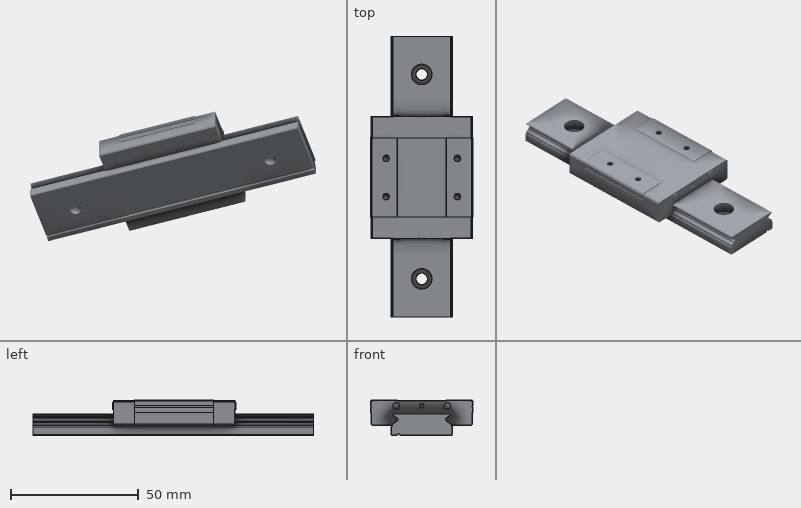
import cadquery as cq
import math

rail_length = 110.0
rail_height = 8.5
rail_half_width = 12.0
rail_base_chamfer = 0.3
rail_shoulder_z = 3.3
rail_lip_half_width = 11.5
rail_ledge_z = 4.0
rail_groove_bottom_z = 4.5
rail_groove_center_z = 6.3
rail_step_half_width = 10.3
rail_step_half_height = 1.1
rail_floor_half_width = 9.4
rail_floor_half_height = 0.7
rail_lip_z = 8.0
rail_top_chamfer = 0.3

rail_hole_y = 40.0
rail_hole_diameter = 4.5
rail_bore_diameter = 8.0
rail_bore_depth = 4.5

mark_x = -9.1
mark_radius = 0.6

overall_height = 14.0
carriage_y = -0.3
carriage_bottom_z = 4.0
carriage_half_width = 19.8
carriage_bottom_chamfer = 0.4
block_length = 30.9
cap_length = 8.4
cap_top_z = 13.6
cap_top_chamfer = 0.5

recess_half_width = 9.5
recess_slope = 0.3
pad_edge_chamfer = 0.5

band_half_width = 20.0
band_bottom_z = 9.0
band_groove_bottom_z = 11.0
band_groove_top_z = 11.7

mount_hole_x = 14.0
mount_hole_y = 7.5
mount_hole_diameter = 2.5
mount_hole_depth = 3.6
drill_point_angle = 118.0

screw_x = 10.0
screw_z = 11.5
screw_head_diameter = 2.6
screw_head_height = 0.38
port_z = 11.7
port_diameter = 1.8
port_depth = 2.2


def mirrored_profile(right_side, length, center_y):
    """Extrude a section along Y; right_side lists its +X points and is mirrored in X = 0."""
    left_side = [(-x, z) for x, z in reversed(right_side)]
    return (
        cq.Workplane("XZ", origin=(0, center_y, 0))
        .polyline(right_side + left_side)
        .close()
        .extrude(length / 2, both=True)
    )


def rail_blank():
    """Rail section at full length, without holes."""
    below_arc = [
        (rail_half_width - rail_base_chamfer, 0),
        (rail_half_width, rail_base_chamfer),
        (rail_half_width, rail_shoulder_z),
        (rail_lip_half_width, rail_ledge_z),
        (rail_lip_half_width, rail_groove_bottom_z),
        (rail_step_half_width, rail_groove_center_z - rail_step_half_height),
        (rail_step_half_width, rail_groove_center_z - rail_floor_half_height),
    ]
    above_arc = [
        (rail_step_half_width, rail_groove_center_z + rail_floor_half_height),
        (rail_step_half_width, rail_groove_center_z + rail_step_half_height),
        (rail_lip_half_width, rail_lip_z),
        (rail_lip_half_width, rail_height - rail_top_chamfer),
        (rail_lip_half_width - rail_top_chamfer, rail_height),
    ]
    above_arc_left = [(-x, z) for x, z in reversed(above_arc)]
    below_arc_left = [(-x, z) for x, z in reversed(below_arc)]
    return (
        cq.Workplane("XZ")
        .polyline(below_arc)
        .threePointArc((rail_floor_half_width, rail_groove_center_z), above_arc[0])
        .polyline(above_arc[1:] + above_arc_left, includeCurrent=True)
        .threePointArc((-rail_floor_half_width, rail_groove_center_z), below_arc_left[0])
        .polyline(below_arc_left[1:], includeCurrent=True)
        .close()
        .extrude(rail_length / 2, both=True)
    )


def make_rail():
    reference_mark = (
        cq.Workplane("XZ").center(mark_x, 0).circle(mark_radius).extrude(rail_length / 2, both=True)
    )
    return (
        rail_blank()
        .cut(reference_mark)
        .faces(">Z")
        .workplane(origin=(0, 0, rail_height))
        .pushPoints([(0, -rail_hole_y), (0, rail_hole_y)])
        .cboreHole(rail_hole_diameter, rail_bore_diameter, rail_bore_depth)
    )


def mounting_hole_cutter(x, y):
    """Blind hole with a conical drill point, going down from the pad surface."""
    radius = mount_hole_diameter / 2
    point_depth = radius / math.tan(math.radians(drill_point_angle / 2))
    return (
        cq.Workplane("XZ", origin=(x, y, overall_height))
        .polyline([(0, 0), (radius, 0), (radius, -mount_hole_depth), (0, -mount_hole_depth - point_depth)])
        .close()
        .revolve(360, (0, 0), (0, 1))
    )


def make_block():
    right_side = [
        (carriage_half_width - carriage_bottom_chamfer, carriage_bottom_z),
        (carriage_half_width, carriage_bottom_z + carriage_bottom_chamfer),
        (carriage_half_width, band_bottom_z),
        (band_half_width, band_bottom_z),
        (band_half_width, band_groove_bottom_z),
        (carriage_half_width, band_groove_bottom_z),
        (carriage_half_width, band_groove_top_z),
        (band_half_width, band_groove_top_z),
        (band_half_width, overall_height - pad_edge_chamfer),
        (band_half_width - pad_edge_chamfer, overall_height),
        (recess_half_width + recess_slope, overall_height),
        (recess_half_width, cap_top_z),
    ]
    block = mirrored_profile(right_side, block_length, carriage_y).cut(rail_blank())
    for x in (-mount_hole_x, mount_hole_x):
        for y in (carriage_y - mount_hole_y, carriage_y + mount_hole_y):
            block = block.cut(mounting_hole_cutter(x, y))
    return block


def make_end_cap(side):
    """End cap with its screw heads; side is -1 for the -Y end and 1 for the +Y end."""
    right_side = [
        (carriage_half_width - carriage_bottom_chamfer, carriage_bottom_z),
        (carriage_half_width, carriage_bottom_z + carriage_bottom_chamfer),
        (carriage_half_width, cap_top_z - cap_top_chamfer),
        (carriage_half_width - cap_top_chamfer, cap_top_z),
    ]
    center_y = carriage_y + side * (block_length + cap_length) / 2
    outer_y = center_y + side * cap_length / 2
    outer_plane = cq.Workplane("XZ", origin=(0, outer_y, 0))
    screw_heads = (
        outer_plane.pushPoints([(-screw_x, screw_z), (screw_x, screw_z)])
        .circle(screw_head_diameter / 2)
        .extrude(-side * screw_head_height)
    )
    port = outer_plane.center(0, port_z).circle(port_diameter / 2).extrude(side * port_depth)
    return mirrored_profile(right_side, cap_length, center_y).cut(rail_blank()).union(screw_heads).cut(port)


rail = make_rail()
block = make_block()
end_caps = [make_end_cap(side) for side in (-1, 1)]

result = cq.Compound.makeCompound([rail.val(), block.val(), *[cap.val() for cap in end_caps]])